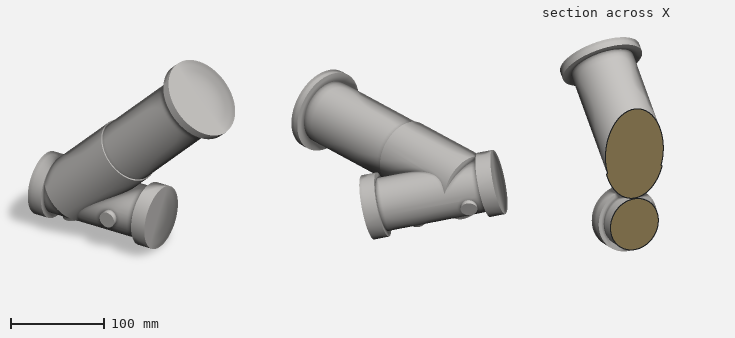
import cadquery as cq
import math

run_length = 145.6
run_diameter = 58.0
collar_diameter = 70.2
collar_length = 16.5

branch_start_x = 33.4
branch_angle = 45
sleeve_diameter = 73.0
sleeve_length = 100.8
tube_diameter = 70.0
branch_length = 230.8
end_flange_diameter = 90.0
end_flange_thickness = 9.2

plug_diameter = 18.0
side_plug_reach = 34.5
bottom_plug_reach = 32.7
side_plug_x = 98.5
bottom_plug_x = branch_start_x

run_plane = cq.Plane.YZ()
branch_direction = (
    math.cos(math.radians(branch_angle)),
    0,
    math.sin(math.radians(branch_angle)),
)
branch_plane = cq.Plane(origin=(branch_start_x, 0, 0), xDir=(0, 1, 0), normal=branch_direction)


def cylinder(plane, diameter, start, end):
    """Cylinder along the plane normal, between two distances from its origin."""
    return cq.Workplane(plane).workplane(offset=start).circle(diameter / 2).extrude(end - start)


def plug(x, reach, direction):
    """Plug rising from the run axis at the given X."""
    plane = cq.Plane(origin=(x, 0, 0), xDir=(1, 0, 0), normal=direction)
    return cylinder(plane, plug_diameter, 0, reach)


def run_pipe():
    """Run pipe with a collar at each end."""
    pipe = cylinder(run_plane, run_diameter, 0, run_length)
    for start in (0, run_length - collar_length):
        pipe = pipe.union(cylinder(run_plane, collar_diameter, start, start + collar_length))
    return pipe


def branch_pipe():
    """Sleeve, the slimmer tube leaving it, and the end flange."""
    sleeve = cylinder(branch_plane, sleeve_diameter, 0, sleeve_length)
    tube = cylinder(branch_plane, tube_diameter, sleeve_length, branch_length)
    flange_start = branch_length - end_flange_thickness
    flange = cylinder(branch_plane, end_flange_diameter, flange_start, branch_length)
    return sleeve.union(tube).union(flange)


result = (
    run_pipe()
    .union(branch_pipe())
    .union(plug(side_plug_x, side_plug_reach, (0, -1, 0)))
    .union(plug(bottom_plug_x, bottom_plug_reach, (0, 0, -1)))
)